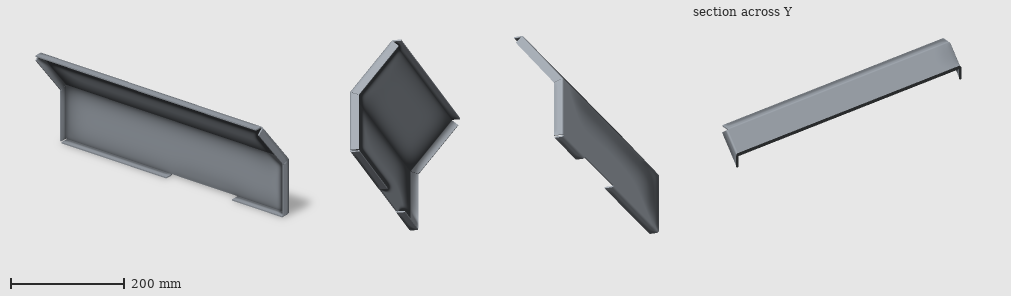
import cadquery as cq
import math

length = 498.0
depth = 92.5
height = 202.0
sheet = 2.5
inner_radius = 1.0
outer_radius = sheet + inner_radius
flange_width = 17.0
knee_height = 110.0
slope_angle = math.radians(40)

gap_start = -12.5
gap_end = 134.0

slope_length = (height - knee_height) / math.cos(slope_angle)
top_bend_angle = math.pi / 2 - slope_angle
top_bend_setback = outer_radius * math.tan(top_bend_angle / 2)
slope_end = slope_length - top_bend_setback

relief_width = 0.5
cut_margin = 5.0
flange_limit = length / 2 - outer_radius


def slope_point(along, inset):
    """(Y, Z) point at a distance along the slope and inset from its back face."""
    y = -along * math.sin(slope_angle) - inset * math.cos(slope_angle)
    z = knee_height + along * math.cos(slope_angle) - inset * math.sin(slope_angle)
    return y, z


def knee_point(inset):
    """(Y, Z) point on the mitre of the knee, inset from both back faces."""
    return -inset, knee_height - inset * math.tan(slope_angle / 2)


def trough_block(back_inset, front_inset, half_length, corner_radius, overrun=0.0):
    """Wall and slope prism with rounded back corners, optionally overrunning its foot and head."""
    foot = outer_radius - overrun
    head = slope_end + overrun
    outline = [
        (-back_inset, foot),
        knee_point(back_inset),
        slope_point(head, back_inset),
        slope_point(head, front_inset),
        knee_point(front_inset),
        (-front_inset, foot),
    ]
    block = cq.Workplane("YZ", origin=(-half_length, 0, 0)).polyline(outline).close()
    block = block.extrude(2 * half_length)
    wall_middle = (-back_inset, knee_height / 2)
    slope_middle = slope_point(slope_end / 2, back_inset)
    corners = cq.Workplane("XY").newObject([])
    for side in (-1, 1):
        for y, z in (wall_middle, slope_middle):
            nearest = cq.selectors.NearestToPointSelector((side * half_length, y, z))
            corners = corners.add(block.edges(nearest))
    return block.newObject(corners.vals()).fillet(corner_radius)


def bottom_flange(x_start, x_end):
    """Flange turned towards -Y at the foot of the wall, including its bend."""
    diagonal = math.sqrt(0.5)
    profile = (
        cq.Workplane("YZ", origin=(x_start, 0, 0))
        .moveTo(0, outer_radius)
        .threePointArc(
            (-outer_radius * (1 - diagonal), outer_radius * (1 - diagonal)),
            (-outer_radius, 0),
        )
        .lineTo(-flange_width, 0)
        .lineTo(-flange_width, sheet)
        .lineTo(-outer_radius, sheet)
        .threePointArc(
            (-outer_radius + inner_radius * diagonal, outer_radius - inner_radius * diagonal),
            (-sheet, outer_radius),
        )
        .close()
    )
    return profile.extrude(x_end - x_start)


def top_flange():
    """Level flange at the head of the slope, including its bend."""
    centre_y, centre_z = slope_point(slope_end, outer_radius)

    def bend_point(radius, angle):
        return centre_y + radius * math.cos(angle), centre_z + radius * math.sin(angle)

    bend_end = math.pi / 2
    bend_middle = (slope_angle + bend_end) / 2
    profile = (
        cq.Workplane("YZ", origin=(-flange_limit, 0, 0))
        .moveTo(*bend_point(outer_radius, slope_angle))
        .threePointArc(bend_point(outer_radius, bend_middle), bend_point(outer_radius, bend_end))
        .lineTo(-depth, height)
        .lineTo(-depth, height - sheet)
        .lineTo(*bend_point(inner_radius, bend_end))
        .threePointArc(bend_point(inner_radius, bend_middle), bend_point(inner_radius, slope_angle))
        .close()
    )
    return profile.extrude(2 * flange_limit)


def knee_relief():
    """Mitre slit that splits both side flanges at the knee, starting at their bends."""
    start_y, start_z = knee_point(outer_radius)
    end_y, end_z = knee_point(flange_width + cut_margin)
    half_width = relief_width / 2
    outline = [
        (start_y, start_z - half_width),
        (end_y, end_z - half_width),
        (end_y, end_z + half_width),
        (start_y, start_z + half_width),
    ]
    profile = cq.Workplane("YZ", origin=(-length / 2, 0, 0)).polyline(outline).close()
    return profile.extrude(length)


trough = trough_block(0, flange_width, length / 2, outer_radius)
cavity = trough_block(
    sheet, flange_width + cut_margin, length / 2 - sheet, inner_radius, overrun=cut_margin
)
trough = trough.cut(cavity).cut(knee_relief())
result = (
    trough.union(top_flange())
    .union(bottom_flange(-flange_limit, gap_start))
    .union(bottom_flange(gap_end, flange_limit))
)